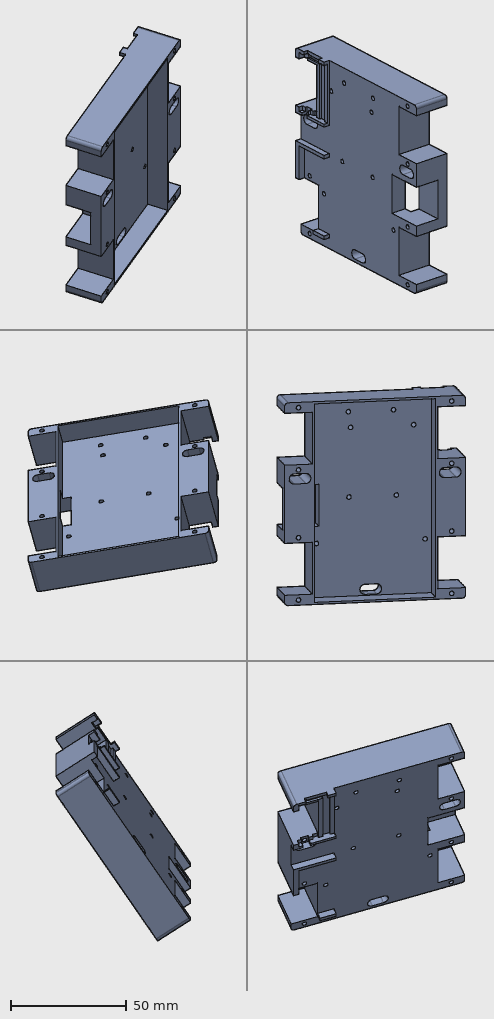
import cadquery as cq

DEPTH = 20.0
WIDTH = 80.0
HEIGHT = 90.0
LEFT = WIDTH / 2
TOP = HEIGHT / 2

RAIL_HEIGHT = 3.0
CORNER_RADIUS = 1.5

TAB_HEIGHT = 4.7
NOTCH_HEIGHT = 22.95
NOTCH_DEPTH = 12.2
BLOCK_TOP = TOP - TAB_HEIGHT - NOTCH_HEIGHT

PLATE_THICKNESS = 7.5
WALL = 1.0
CAVITY_WIDTH = WIDTH - 2 * (NOTCH_DEPTH + WALL)
CAVITY_HEIGHT = HEIGHT - 2 * WALL

POCKET_TOP = 6.1
POCKET_HEIGHT = 18.5
POCKET_WIDTH = 17.0
POCKET_BACK_WALL = 5.0

SLOT_LENGTH = 9.5
SLOT_HEIGHT = 4.4
SIDE_SLOT_Y = 33.2
SIDE_SLOT_Z = 11.1
LOWER_SLOT_Z = -41.3

HOLE_DIAMETER = 2.0
EDGE_HOLE_Y = LEFT - NOTCH_DEPTH / 2
EDGE_HOLE_Z = (TOP - TAB_HEIGHT / 2, BLOCK_TOP - TAB_HEIGHT / 2)
PLATE_HOLES = [
    (10.1, 37.8),
    (-9.9, 37.8),
    (19.0, 30.8),
    (-8.9, 30.8),
    (11.3, -0.1),
    (-9.6, -0.1),
    (24.0, -20.1),
    (-24.0, -20.1),
]

RAIL_WIDTH = 1.7
RAIL_END_OFFSET = 19.7
SIDE_RAIL_WIDTH = 2.5
MIDDLE_RAIL_TOP = 0.45
LOWER_RAIL_TOP = -38.1

LEDGE_HEIGHT = 1.0
GROOVE_WIDTH = 1.7
FRAME_OVERLAP = 3.4
FRAME_SEAT_HEIGHT = 2.1
FRAME_BOTTOM = BLOCK_TOP - FRAME_OVERLAP
FRAME_SEAT_BOTTOM = BLOCK_TOP - FRAME_SEAT_HEIGHT
FRAME_INNER_TOP = TOP - RAIL_WIDTH
LEDGE_START_OFFSET = 5.85
LEDGE_END_OFFSET = 14.2
END_LEDGE_OFFSET = 17.6
TOP_GAP_END_OFFSET = 15.9
HOLE_GAP_START_OFFSET = 4.4
HOLE_GAP_END_OFFSET = 7.8
SEAT_LEDGE_END_OFFSET = 9.8


def block(x_start, x_end, y_left, y_right, z_top, z_bottom):
    """Box between two X planes, from y_left down to y_right and z_top down to z_bottom."""
    return cq.Workplane("XY").box(
        x_end - x_start, y_left - y_right, z_top - z_bottom, centered=False
    ).translate((x_start, y_right, z_bottom))


def front_block(height, start_offset, end_offset, z_top, z_bottom):
    """Box standing on the front face, placed by its offsets from the +Y side."""
    return block(
        RAIL_HEIGHT - height, RAIL_HEIGHT, LEFT - start_offset, LEFT - end_offset, z_top, z_bottom
    )


def front_recess(depth, start_offset, end_offset, z_top, z_bottom):
    """Cutter that sinks from the top of the rails, placed by its offsets from the +Y side."""
    return block(0, depth, LEFT - start_offset, LEFT - end_offset, z_top, z_bottom)


def make_body():
    body = block(RAIL_HEIGHT, DEPTH, LEFT, -LEFT, TOP, -TOP)
    cavity = block(
        RAIL_HEIGHT + PLATE_THICKNESS, DEPTH,
        CAVITY_WIDTH / 2, -CAVITY_WIDTH / 2, CAVITY_HEIGHT / 2, -CAVITY_HEIGHT / 2,
    )
    return body.cut(cavity)


def make_upper_frame():
    """Stepped frame: a full-height rim, lower ledges and a groove down to the front face."""
    frame = front_block(RAIL_HEIGHT, 0, RAIL_END_OFFSET, TOP, FRAME_BOTTOM)
    frame = frame.cut(
        front_recess(RAIL_HEIGHT, SIDE_RAIL_WIDTH, RAIL_END_OFFSET, FRAME_INNER_TOP, FRAME_SEAT_BOTTOM)
    )

    ledge_top = FRAME_INNER_TOP - GROOVE_WIDTH
    ledges = [
        (LEDGE_START_OFFSET, LEDGE_END_OFFSET, ledge_top, BLOCK_TOP),
        (NOTCH_DEPTH, LEDGE_END_OFFSET, BLOCK_TOP, FRAME_SEAT_BOTTOM),
        (END_LEDGE_OFFSET, RAIL_END_OFFSET, FRAME_INNER_TOP, FRAME_SEAT_BOTTOM),
        (SIDE_RAIL_WIDTH, SEAT_LEDGE_END_OFFSET, BLOCK_TOP, FRAME_SEAT_BOTTOM),
    ]
    for ledge in ledges:
        frame = frame.union(front_block(LEDGE_HEIGHT, *ledge))

    top_gap = front_recess(
        RAIL_HEIGHT - LEDGE_HEIGHT, LEDGE_START_OFFSET, TOP_GAP_END_OFFSET, TOP, FRAME_INNER_TOP
    )
    hole_gap = front_recess(
        RAIL_HEIGHT, HOLE_GAP_START_OFFSET, HOLE_GAP_END_OFFSET, BLOCK_TOP, FRAME_BOTTOM
    )
    return frame.cut(top_gap).cut(hole_gap)


def make_rails():
    """L-shaped rail on the middle block and a short rail near the lower edge."""
    middle = front_block(
        RAIL_HEIGHT, 0, RAIL_END_OFFSET, MIDDLE_RAIL_TOP, MIDDLE_RAIL_TOP - RAIL_WIDTH
    )
    side = front_block(RAIL_HEIGHT, 0, SIDE_RAIL_WIDTH, MIDDLE_RAIL_TOP, -BLOCK_TOP)
    lower = front_block(
        RAIL_HEIGHT, NOTCH_DEPTH, RAIL_END_OFFSET, LOWER_RAIL_TOP, LOWER_RAIL_TOP - RAIL_WIDTH
    )
    return middle.union(side).union(lower)


def cut_notches(part):
    for y_left in (LEFT, -LEFT + NOTCH_DEPTH):
        for z_bottom in (BLOCK_TOP, -BLOCK_TOP - NOTCH_HEIGHT):
            notch = block(0, DEPTH, y_left, y_left - NOTCH_DEPTH, z_bottom + NOTCH_HEIGHT, z_bottom)
            part = part.cut(notch)
    return part


def cut_pocket(part):
    pocket = block(
        RAIL_HEIGHT, DEPTH - POCKET_BACK_WALL,
        -LEFT + POCKET_WIDTH, -LEFT, POCKET_TOP, POCKET_TOP - POCKET_HEIGHT,
    )
    return part.cut(pocket)


def cut_slots_and_holes(part):
    """Openings that run straight through along X."""
    slots = (
        cq.Workplane("YZ")
        .pushPoints([(SIDE_SLOT_Y, SIDE_SLOT_Z), (-SIDE_SLOT_Y, SIDE_SLOT_Z), (0, LOWER_SLOT_Z)])
        .slot2D(SLOT_LENGTH, SLOT_HEIGHT)
        .extrude(DEPTH)
    )
    edge_holes = [
        (side * EDGE_HOLE_Y, end * z)
        for side in (1, -1)
        for end in (1, -1)
        for z in EDGE_HOLE_Z
    ]
    holes = (
        cq.Workplane("YZ")
        .pushPoints(edge_holes + PLATE_HOLES)
        .circle(HOLE_DIAMETER / 2)
        .extrude(DEPTH)
    )
    return part.cut(slots).cut(holes)


def round_corners(part):
    """Trim the four outer corners to a radius running the whole depth."""
    envelope = block(0, DEPTH, LEFT, -LEFT, TOP, -TOP).edges("|X").fillet(CORNER_RADIUS)
    return part.intersect(envelope)


solid = make_body().union(make_upper_frame()).union(make_rails())
solid = cut_notches(solid)
solid = cut_pocket(solid)
solid = cut_slots_and_holes(solid)
result = round_corners(solid)